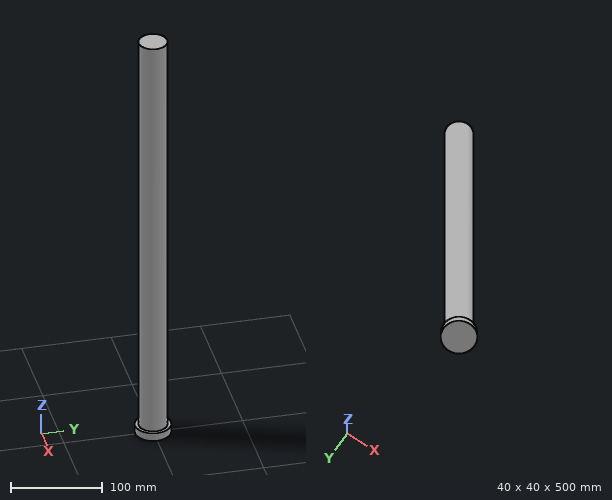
import cadquery as cq

total_length = 500.0
head_diameter = 40.0
head_thickness = 10.0
shaft_diameter = 32.0

head = cq.Workplane("XY").circle(head_diameter / 2).extrude(head_thickness)

result = (
    head.faces(">Z").workplane()
    .circle(shaft_diameter / 2)
    .extrude(total_length - head_thickness)
)